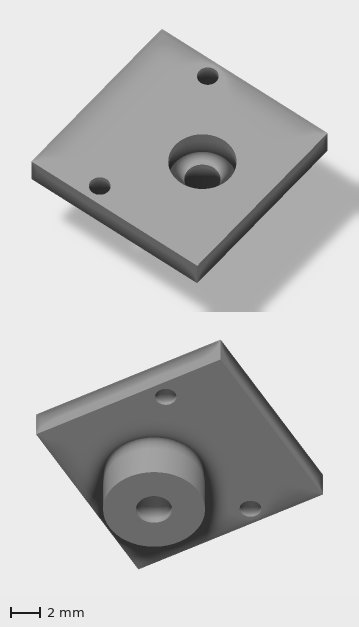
import cadquery as cq

plate_side = 14.5
plate_thickness = 2.0

boss_diameter = 7.0
boss_height = 3.5
boss_x = 2.0

counterbore_diameter = 4.7
counterbore_depth = plate_thickness
bore_diameter = 2.5

mount_hole_diameter = 1.5
mount_hole_x = -2.25
mount_hole_y = 6.0


def make_plate():
    return cq.Workplane("XY").rect(plate_side, plate_side).extrude(plate_thickness)


def add_boss(body):
    boss = cq.Workplane("XY").center(boss_x, 0).circle(boss_diameter / 2).extrude(-boss_height)
    return body.union(boss)


def cut_stepped_bore(body):
    top = cq.Workplane("XY", origin=(boss_x, 0, plate_thickness))
    counterbore = top.circle(counterbore_diameter / 2).extrude(-counterbore_depth)
    bore = top.circle(bore_diameter / 2).extrude(-(plate_thickness + boss_height))
    return body.cut(counterbore).cut(bore)


def cut_mount_holes(body):
    centres = [(mount_hole_x, side * mount_hole_y) for side in (-1, 1)]
    holes = cq.Workplane("XY").pushPoints(centres).circle(mount_hole_diameter / 2).extrude(plate_thickness)
    return body.cut(holes)


result = cut_mount_holes(cut_stepped_bore(add_boss(make_plate())))